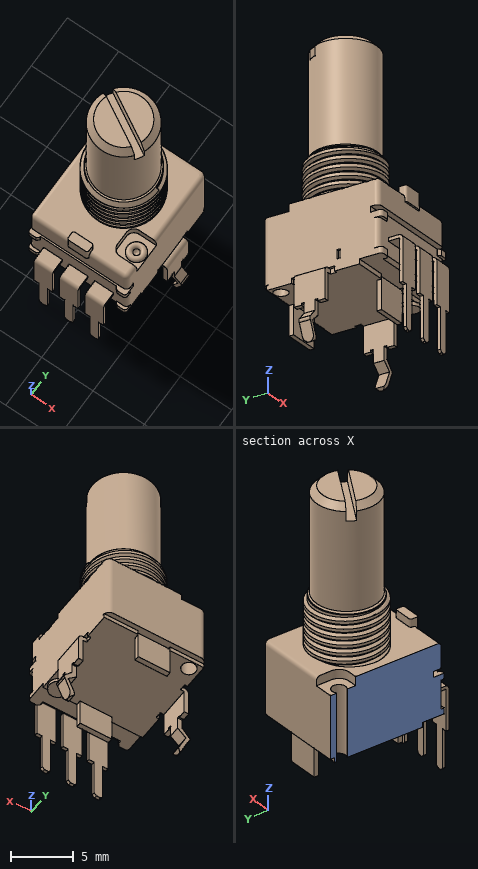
import cadquery as cq
import math


shaft_diameter = 6.0
shaft_top = 15.0
shaft_bottom = 5.0
shaft_chamfer = 0.6
neck_diameter = 5.1
slot_width = 0.85
slot_depth = 1.5
slot_angle = -30

bushing_diameter = 7.0
bushing_top = 4.85
bushing_bevel = 0.37
envelope_clearance = 0.28
bushing_sink = 0.4
thread_turns = 6
thread_span = 4.5
thread_pitch = thread_span / thread_turns
thread_depth = 0.3
crest_width = 0.3
root_width = 0.08
crest_phase = 0.2
thread_overlap = 0.03

half_width = 4.78
back_y = 4.85
front_y = -6.28
cover_bottom = -2.5
base_bottom = -6.88
edge_radius = 0.42
back_corner_radius = 0.6
groove_face_y = -5.5
groove_bottom = -3.0
bottom_chamfer = 0.28

recess_floor = -0.85
recess_inner_x = 2.38
back_recess_y = 2.32
back_recess_radius = 1.0
front_recess_y_max = -2.3
front_recess_y_min = -4.98
front_recess_radius = 0.74
fastener_x = 3.82
fastener_y = 3.68
fastener_hole_diameter = 1.3
rivet_ring_diameter = 1.2
rivet_hole_diameter = 0.6
rivet_tube_radius = (rivet_ring_diameter - rivet_hole_diameter) / 2
rivet_hole_depth = 0.28
rivet_foot_diameter = 1.7
rivet_foot_bottom = -7.67

key_width = 2.0
key_back_y = -5.6
key_front_y = -6.45
key_top = 0.75
key_bottom = -0.74
key_radius = 0.2

pad_front_y = -6.57
pad_width = 1.08
pad_height = 0.6
pad_outer_radius = 0.28
pad_inner_chamfer = 0.23

window_y = -2.43
window_z = -5.9
window_width = 0.3
window_height = 0.8
window_depth = 0.23

plate_thickness = 0.45
plate_half_length = 4.41
tab_width = 3.05
tab_bottom = -10.05
tab_bend_radius = 0.42
leg_outer_x = 5.3
leg_shoulder_width = 2.95
leg_shoulder_bottom = -9.82
leg_relief_width = 1.53
leg_relief_depth = 0.17
leg_width = 1.05
leg_relief_y = 2.05
leg_relief_x = 0.28
leg_bottom = -13.3
leg_bend_outer_z = -10.6
leg_bend_inner_z = -10.9
leg_knee_x = 6.05
leg_knee_z = -11.52
leg_knee_half_height = 0.2
leg_knee_start_x = 5.91
leg_knee_end_x = 5.97
leg_knee_inner_x = 5.63
leg_knee_inner_z = -11.6
leg_tip_outer_x = 5.32
leg_tip_inner_x = 4.98
leg_tip_inner_z = -13.1

terminal_pitch = 2.5
terminal_thickness = 0.3
terminal_top = -4.92
terminal_front_y = -7.67
terminal_width = 1.85
terminal_shoulder = -9.2
terminal_bend_radius = 0.4
pin_width = 0.82
pin_bottom = -13.2
pin_tip_chamfer = 0.23


def block(x_min, x_max, y_min, y_max, z_min, z_max):
    """Box given by its limits along the three axes."""
    size = (x_max - x_min, y_max - y_min, z_max - z_min)
    return cq.Workplane("XY").box(*size, centered=False).translate((x_min, y_min, z_min))


def make_shaft():
    shaft = (
        cq.Workplane("XY").workplane(offset=shaft_bottom)
        .circle(shaft_diameter / 2).extrude(shaft_top - shaft_bottom)
        .faces(">Z").chamfer(shaft_chamfer)
    )
    slot = (
        cq.Workplane("XY").workplane(offset=shaft_top - slot_depth)
        .transformed(rotate=(0, 0, slot_angle))
        .rect(2 * shaft_diameter, slot_width).extrude(slot_depth)
    )
    neck = cq.Workplane("XY").circle(neck_diameter / 2).extrude(shaft_bottom)
    return shaft.cut(slot).union(neck)


def make_bushing():
    """Core cylinder with a right-hand helical ridge, bevelled at the top."""
    crest_radius = bushing_diameter / 2
    root_radius = crest_radius - thread_depth
    height = bushing_top + bushing_sink
    foundation = cq.Workplane("XY").workplane(offset=-bushing_sink)
    core = foundation.circle(root_radius).extrude(height)

    foot_radius = root_radius - thread_overlap
    half_crest = crest_width / 2
    half_base = thread_pitch / 2 - root_width / 2
    half_foot = half_base + (half_base - half_crest) * thread_overlap / thread_depth
    swept_turns = math.ceil(height / thread_pitch)
    helix = cq.Wire.makeHelix(thread_pitch, swept_turns * thread_pitch, root_radius)
    ridge = (
        cq.Workplane("XZ")
        .moveTo(foot_radius, -half_foot)
        .lineTo(crest_radius, -half_crest)
        .lineTo(crest_radius, half_crest)
        .lineTo(foot_radius, half_foot)
        .close()
        .sweep(cq.Workplane("XY").add(helix), isFrenet=True)
        .translate((0, 0, crest_phase - thread_pitch))
    )
    envelope = (
        foundation.circle(crest_radius + envelope_clearance).extrude(height)
        .faces(">Z").chamfer(bushing_bevel + envelope_clearance)
    )
    return core.union(ridge).intersect(envelope)


def make_cover():
    cover = block(-half_width, half_width, front_y, back_y, cover_bottom, 0)
    cover = cover.edges("|Z and <Y").fillet(edge_radius)
    cover = cover.edges("|Z and >Y").fillet(back_corner_radius)
    cover = cover.faces(">Z").edges().fillet(edge_radius)
    back_recess = (
        block(-2 * half_width, -recess_inner_x, back_recess_y, 2 * back_y, recess_floor, 0)
        .edges("|Z and >X and <Y").fillet(back_recess_radius)
    )
    front_recess = (
        block(recess_inner_x, 2 * half_width, front_recess_y_min, front_recess_y_max, recess_floor, 0)
        .edges("|Z and <X").fillet(front_recess_radius)
    )
    return cover.cut(back_recess).cut(front_recess)


def make_key():
    half = key_width / 2
    return block(-half, half, key_front_y, key_back_y, key_bottom, key_top).edges("|Z").fillet(key_radius)


def make_base():
    base = block(-half_width, half_width, front_y, back_y, base_bottom, cover_bottom)
    base = base.edges("|Z and <Y").fillet(edge_radius)
    base = base.edges("|Z and >Y").fillet(back_corner_radius)
    front_groove = block(-half_width, half_width, 2 * front_y, groove_face_y, groove_bottom, cover_bottom)
    base = base.cut(front_groove)
    pad = (
        block(-half_width, pad_width - half_width, pad_front_y, groove_face_y, 0, pad_height)
        .edges("|Z and <Y and <X").fillet(pad_outer_radius)
        .edges("|Z and <Y and >X").chamfer(pad_inner_chamfer)
    )
    for pad_z in (base_bottom, groove_bottom - pad_height):
        left_pad = pad.translate((0, 0, pad_z))
        base = base.union(left_pad).union(left_pad.mirror("YZ"))
    bevel = (
        cq.Workplane("YZ")
        .moveTo(front_y, base_bottom)
        .lineTo(front_y + bottom_chamfer, base_bottom)
        .lineTo(front_y, base_bottom + bottom_chamfer)
        .close()
        .extrude(half_width - pad_width, both=True)
    )
    base = base.cut(bevel)
    window = cq.Workplane("XY").box(2 * window_depth, window_width, window_height)
    return base.cut(window.translate((-half_width, window_y, window_z)))


def make_leg():
    """Mounting leg on the +X side: bent strip, trimmed to its width steps."""
    inner_x = leg_outer_x - plate_thickness
    root_x = half_width - leg_relief_x
    plate_bottom = base_bottom - plate_thickness
    strip = (
        cq.Workplane("XZ")
        .moveTo(root_x, base_bottom)
        .lineTo(inner_x, base_bottom)
        .radiusArc((leg_outer_x, plate_bottom), plate_thickness)
        .lineTo(leg_outer_x, leg_bend_outer_z)
        .lineTo(leg_knee_start_x, leg_knee_z + leg_knee_half_height)
        .threePointArc(
            (leg_knee_x, leg_knee_z),
            (leg_knee_end_x, leg_knee_z - leg_knee_half_height),
        )
        .lineTo(leg_tip_outer_x, leg_bottom)
        .lineTo(leg_tip_inner_x, leg_tip_inner_z)
        .lineTo(leg_knee_inner_x, leg_knee_inner_z)
        .lineTo(inner_x, leg_bend_inner_z)
        .lineTo(inner_x, plate_bottom)
        .lineTo(root_x, plate_bottom)
        .close()
        .extrude(leg_shoulder_width / 2, both=True)
    )
    half_shoulder = leg_shoulder_width / 2
    half_relief = leg_relief_width / 2
    half_leg = leg_width / 2
    relief_top = leg_shoulder_bottom + leg_relief_depth
    outline = (
        cq.Workplane("YZ")
        .moveTo(-half_shoulder, base_bottom)
        .lineTo(-half_shoulder, leg_shoulder_bottom)
        .lineTo(-half_relief, leg_shoulder_bottom)
        .lineTo(-half_relief, relief_top)
        .lineTo(-half_leg, relief_top)
        .lineTo(-half_leg, leg_bottom + half_leg)
        .threePointArc((0, leg_bottom), (half_leg, leg_bottom + half_leg))
        .lineTo(half_leg, relief_top)
        .lineTo(half_relief, relief_top)
        .lineTo(half_relief, leg_shoulder_bottom)
        .lineTo(half_shoulder, leg_shoulder_bottom)
        .lineTo(half_shoulder, base_bottom)
        .close()
        .extrude(2 * leg_outer_x)
    )
    return strip.intersect(outline)


def make_plate():
    plate_bottom = base_bottom - plate_thickness
    plate = block(-half_width, half_width, -plate_half_length, plate_half_length, plate_bottom, base_bottom)
    half_tab = tab_width / 2
    tab = block(
        -half_tab, half_tab,
        -plate_half_length, plate_thickness - plate_half_length,
        tab_bottom, base_bottom,
    )
    tab = tab.edges("<Y and >Z").fillet(tab_bend_radius)
    tab_space = block(
        -half_tab, half_tab,
        -plate_half_length, tab_bend_radius - plate_half_length,
        plate_bottom, base_bottom,
    )
    plate = plate.cut(tab_space).cut(tab_space.mirror("XZ"))
    plate = plate.union(tab).union(tab.mirror("XZ"))
    relief = block(
        half_width - leg_relief_x, half_width,
        -leg_relief_y, leg_relief_y,
        plate_bottom, base_bottom,
    )
    leg = make_leg()
    plate = plate.cut(relief).cut(relief.mirror("YZ"))
    return plate.union(leg).union(leg.mirror("YZ"))


def make_terminal():
    """Bent terminal centred on X = 0, narrowing to a pin."""
    half_wide = terminal_width / 2
    half_pin = pin_width / 2
    inner_y = terminal_front_y + terminal_thickness
    arm_bottom = terminal_top - terminal_thickness
    wide = block(
        -half_wide, half_wide, terminal_front_y, groove_face_y, terminal_shoulder, terminal_top,
    ).edges("<Y and >Z").fillet(terminal_bend_radius)
    space = block(
        -half_wide, half_wide, inner_y, groove_face_y, terminal_shoulder, arm_bottom,
    ).edges("<Y and >Z").fillet(terminal_bend_radius - terminal_thickness)
    pin = block(
        -half_pin, half_pin, terminal_front_y, inner_y, pin_bottom, terminal_shoulder,
    ).edges("|Y and <Z").chamfer(pin_tip_chamfer)
    return wide.cut(space).union(pin)


def make_rivet():
    """Ring-shaped head on the recess floor and a round foot under the plate."""
    ring_radius = rivet_ring_diameter / 2
    head = cq.Workplane("XY").add(cq.Solid.makeTorus(ring_radius, rivet_tube_radius))
    foot = (
        cq.Workplane("XY").workplane(offset=rivet_foot_bottom)
        .circle(rivet_foot_diameter / 2).extrude(base_bottom - plate_thickness - rivet_foot_bottom)
    )
    return head.translate((0, 0, recess_floor)).union(foot).translate((fastener_x, -fastener_y, 0))


def make_rivet_hole():
    """Conical dimple that tapers downwards inside the rivet ring."""
    dimple = cq.Solid.makeCone(0, rivet_hole_diameter / 2, rivet_hole_depth)
    return cq.Workplane("XY").add(dimple).translate(
        (fastener_x, -fastener_y, recess_floor - rivet_hole_depth)
    )


def make_fastener_hole():
    return (
        cq.Workplane("XY", origin=(-fastener_x, fastener_y, rivet_foot_bottom))
        .circle(fastener_hole_diameter / 2).extrude(-rivet_foot_bottom)
    )


result = make_base().union(make_cover()).union(make_plate())
result = result.union(make_key()).union(make_rivet())
for terminal_index in (-1, 0, 1):
    result = result.union(make_terminal().translate((terminal_index * terminal_pitch, 0, 0)))
result = result.cut(make_rivet_hole()).cut(make_fastener_hole())
result = result.union(make_bushing()).union(make_shaft())